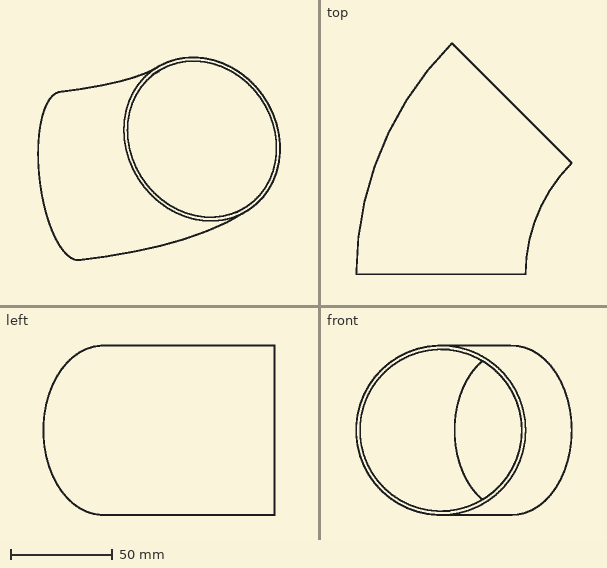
import cadquery as cq
import math

overall_length = 114.5
outer_diameter = 84.0
wall = 2.0
bend_angle = 45.0

outer_radius = outer_diameter / 2
inner_radius = outer_radius - wall
bend_radius = overall_length / math.sin(math.radians(bend_angle)) - outer_radius

result = (
    cq.Workplane("XZ")
    .circle(outer_radius)
    .circle(inner_radius)
    .revolve(bend_angle, (bend_radius, 1.1, 0), (bend_radius, 0, 0))
)